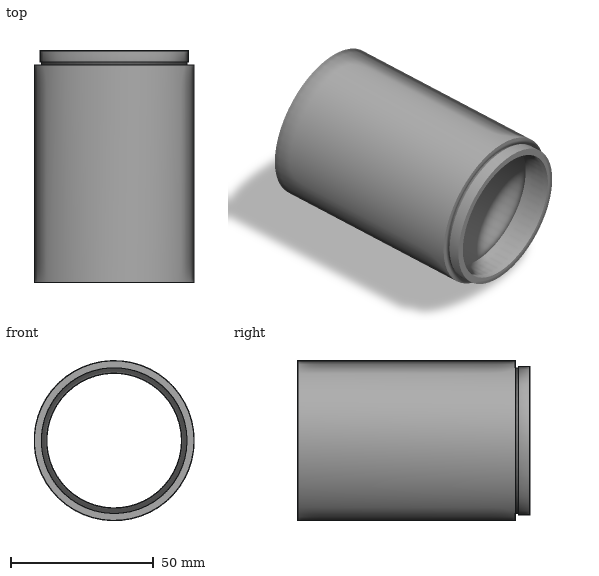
import cadquery as cq

length = 81.2
body_diameter = 56.0

spigot_diameter = 52.0
spigot_length = 4.0
groove_diameter = 51.0
groove_width = 1.05

wide_bore_diameter = 51.0
narrow_bore_diameter = 47.1
narrow_bore_length = 10.0

body_length = length - spigot_length - groove_width
front_y = -length / 2
shoulder_y = front_y + body_length
spigot_y = shoulder_y + groove_width
step_y = length / 2 - narrow_bore_length


def cylinder(diameter, start_y, height):
    """Solid cylinder along +Y starting at start_y."""
    base = cq.Workplane("XZ", origin=(0, start_y, 0))
    return base.circle(diameter / 2).extrude(-height)


outside = (
    cylinder(body_diameter, front_y, body_length)
    .union(cylinder(groove_diameter, shoulder_y, groove_width))
    .union(cylinder(spigot_diameter, spigot_y, spigot_length))
)

wide_bore = cylinder(wide_bore_diameter, front_y, step_y - front_y)
narrow_bore = cylinder(narrow_bore_diameter, front_y, length)

result = outside.cut(wide_bore).cut(narrow_bore)